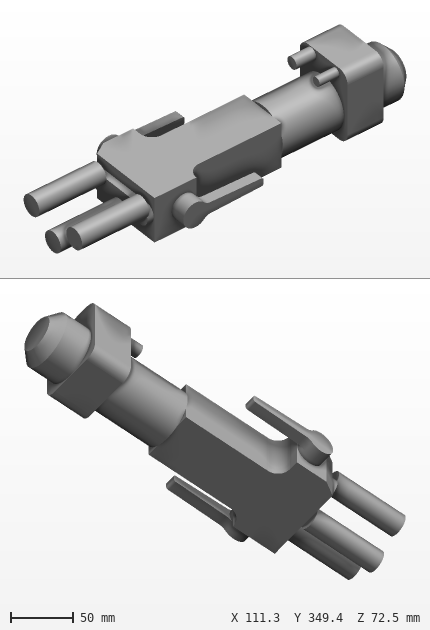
import cadquery as cq

body_left = -44.9
body_right = 36.4
body_height = 45.3
body_length = 140.0
head_length = 43.0
neck_width = 47.6
neck_fillet = 12.5
corner_cut_x = 7.6
corner_cut_y = 12.4

barrel_diameter = 52.0
barrel_length = 134.35
barrel_chamfer = 10.0

collar_width = 61.3
collar_top = 45.75
collar_bottom = -26.75
collar_fillet = 10.5
collar_thickness = 37.0
collar_end_gap = 35.0
pin_length = 20.0
pin_height = 39.0
pin_spacing = 31.2
left_pin_diameter = 12.0
right_pin_diameter = 9.0

plate_width = 71.0
plate_height = 19.2
plate_thickness = 6.5
plate_center_z = 2.6
cable_diameter = 20.3
cable_length = 68.5
cable_pitch = 27.5
outer_cable_z = 12.5
middle_cable_z = -7.5

pivot_diameter = 24.8
pivot_length = 15.0
pivot_y = 30.0
lever_thickness = 10.0
lever_reach = 69.8
lever_root_height = 12.2
lever_tip_height = 8.0
lever_root_fillet = 9.0
lever_tip_fillet = 2.4


def cylinder_along_y(diameter, length, y_start, x=0.0, z=0.0):
    """Cylinder running from y_start towards +Y."""
    axis_start = cq.Vector(x, y_start, z)
    return cq.Workplane(cq.Solid.makeCylinder(diameter / 2, length, axis_start, cq.Vector(0, 1, 0)))


def make_body():
    half_neck = neck_width / 2
    outline = [
        (body_left + corner_cut_x, 0),
        (body_right, 0),
        (body_right, head_length),
        (half_neck, head_length),
        (half_neck, body_length),
        (-half_neck, body_length),
        (-half_neck, head_length),
        (body_left, head_length),
        (body_left, corner_cut_y),
    ]
    bottom_plane = cq.Workplane("XY", origin=(0, 0, -body_height / 2))
    block = bottom_plane.polyline(outline).close().extrude(body_height)
    for x in (-half_neck, half_neck):
        block = block.edges(cq.selectors.NearestToPointSelector((x, head_length, 0))).fillet(neck_fillet)
    return block


def make_barrel():
    barrel = cylinder_along_y(barrel_diameter, barrel_length, body_length)
    return barrel.faces(">Y").chamfer(barrel_chamfer)


def make_collar():
    back_y = body_length + barrel_length - collar_end_gap
    front_y = back_y - collar_thickness
    collar = (
        cq.Workplane("XY")
        .box(collar_width, collar_thickness, collar_top - collar_bottom, centered=(True, False, False))
        .translate((0, front_y, collar_bottom))
        .edges("|Y")
        .fillet(collar_fillet)
    )
    for side, diameter in ((-1, left_pin_diameter), (1, right_pin_diameter)):
        pin_x = side * pin_spacing / 2
        pin = cylinder_along_y(diameter, pin_length, front_y - pin_length, pin_x, pin_height)
        collar = collar.union(pin)
    return collar


def make_cable_outlet():
    outlet = (
        cq.Workplane("XZ")
        .center(0, plate_center_z)
        .slot2D(plate_width, plate_height)
        .extrude(plate_thickness)
    )
    cable_end_y = -plate_thickness - cable_length
    cable_centers = [
        (-cable_pitch, outer_cable_z),
        (0, middle_cable_z),
        (cable_pitch, outer_cable_z),
    ]
    for x, z in cable_centers:
        outlet = outlet.union(cylinder_along_y(cable_diameter, cable_length, cable_end_y, x, z))
    return outlet


def make_lever(side_x, direction):
    """Pivot standing out of the body side at side_x, with a tapered arm flush with its outer end."""
    outer_x = side_x + direction * pivot_length
    half_root = lever_root_height / 2
    half_tip = lever_tip_height / 2
    arm_end_y = pivot_y + lever_reach
    outer_plane = cq.Workplane("YZ", origin=(outer_x, 0, 0))
    arm = (
        outer_plane
        .polyline([
            (pivot_y, -half_root),
            (arm_end_y, -half_tip),
            (arm_end_y, half_tip),
            (pivot_y, half_root),
        ])
        .close()
        .extrude(-direction * lever_thickness)
        .faces(">Y")
        .edges("|X")
        .fillet(lever_tip_fillet)
    )
    hub = outer_plane.center(pivot_y, 0).circle(pivot_diameter / 2).extrude(-direction * lever_thickness)
    lever = hub.union(arm)
    root_y = pivot_y + ((pivot_diameter / 2) ** 2 - half_root ** 2) ** 0.5
    middle_x = outer_x - direction * lever_thickness / 2
    for z in (-half_root, half_root):
        root_edge = cq.selectors.NearestToPointSelector((middle_x, root_y, z))
        lever = lever.edges(root_edge).fillet(lever_root_fillet)
    pivot = (
        cq.Workplane("YZ", origin=(side_x, pivot_y, 0))
        .circle(pivot_diameter / 2)
        .extrude(direction * pivot_length)
    )
    return lever.union(pivot)


result = (
    make_body()
    .union(make_barrel())
    .union(make_collar())
    .union(make_cable_outlet())
    .union(make_lever(body_left, -1))
    .union(make_lever(body_right, 1))
)